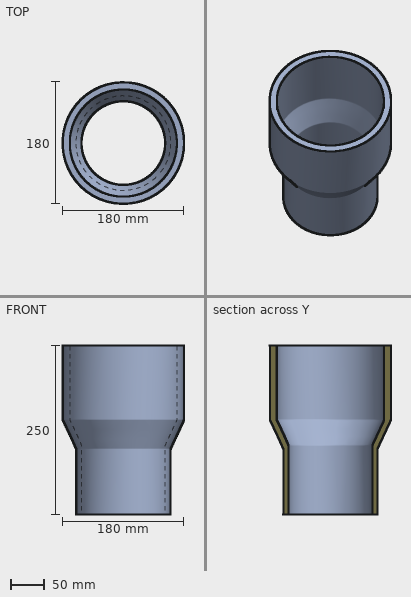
import cadquery as cq
import math

total_height = 250.0
large_outer_radius = 180.0 / 2
large_wall = 10.7
large_length = 110.0
small_outer_radius = 140.0 / 2
small_wall = 8.3
cone_half_angle = 25.0

outer_bend_radius = 2.0
inner_bend_radius = 5.0

cone_top = total_height - large_length


def reducer_body(small_radius, large_radius, bend_radius):
    """Full-height solid: small cylinder, cone and large cylinder with rounded bends."""
    cone_height = (large_radius - small_radius) / math.tan(math.radians(cone_half_angle))
    half_section = [
        (0, 0),
        (small_radius, 0),
        (small_radius, cone_top - cone_height),
        (large_radius, cone_top),
        (large_radius, total_height),
        (0, total_height),
        (0, 0),
    ]
    sketch = cq.Sketch().polygon(half_section).vertices("not(<Y or >Y)").fillet(bend_radius).reset()
    return cq.Workplane("XZ").placeSketch(sketch).revolve(360, (0, 0, 0), (0, 1, 0))


outer_body = reducer_body(small_outer_radius, large_outer_radius, outer_bend_radius)
bore = reducer_body(
    small_outer_radius - small_wall,
    large_outer_radius - large_wall,
    inner_bend_radius,
)

result = outer_body.cut(bore)